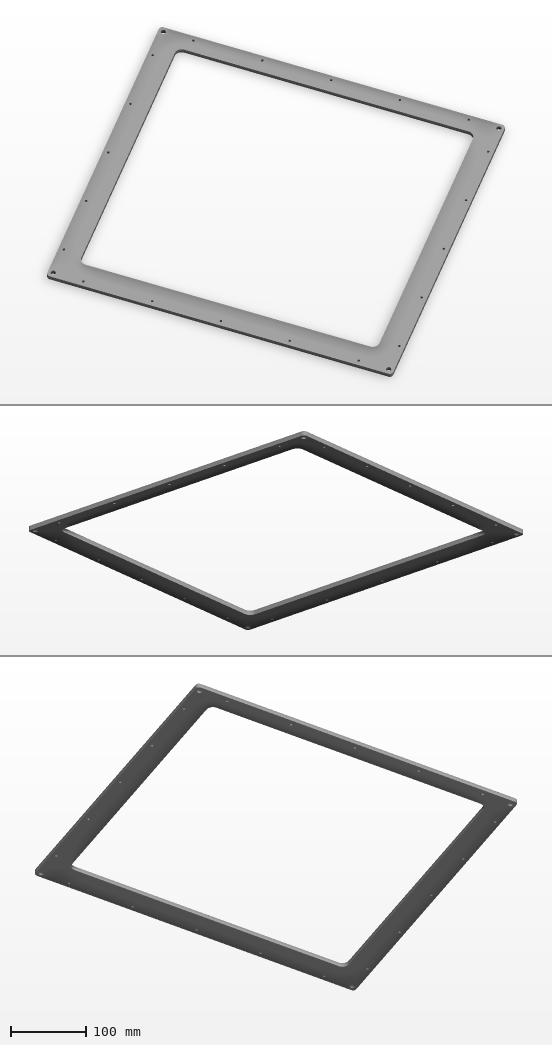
import cadquery as cq

LENGTH = 490.0
WIDTH = 445.0
THICKNESS = 6.5
OUTER_CORNER_RADIUS = 5.0

SIDE_BORDER = 34.0
BACK_BORDER = 26.0
FRONT_BORDER = 35.0
WINDOW_CORNER_RADIUS = 10.0

HOLE_INSET = 7.5
CORNER_HOLE_DIAMETER = 7.0
EDGE_HOLE_DIAMETER = 3.5
HOLES_PER_EDGE = 5
PITCH_X = 97.5
PITCH_Y = 86.5

hole_x = LENGTH / 2 - HOLE_INSET
hole_y = WIDTH / 2 - HOLE_INSET


def rounded_block(length, width, corner_radius, center_y=0.0):
    """Block of plate thickness with rounded vertical edges, standing on Z = 0."""
    block = cq.Workplane("XY").center(0, center_y).rect(length, width).extrude(THICKNESS)
    return block.edges("|Z").fillet(corner_radius)


def through_holes(points, diameter):
    """Cylinders that cut holes through the plate at the given points."""
    return cq.Workplane("XY").pushPoints(points).circle(diameter / 2).extrude(THICKNESS)


def centered_row(pitch):
    """Evenly spaced hole positions along one edge, centred on zero."""
    middle = (HOLES_PER_EDGE - 1) / 2
    return [(index - middle) * pitch for index in range(HOLES_PER_EDGE)]


plate = rounded_block(LENGTH, WIDTH, OUTER_CORNER_RADIUS)
window = rounded_block(
    LENGTH - 2 * SIDE_BORDER,
    WIDTH - BACK_BORDER - FRONT_BORDER,
    WINDOW_CORNER_RADIUS,
    center_y=(FRONT_BORDER - BACK_BORDER) / 2,
)

corner_points = [(x, y) for x in (-hole_x, hole_x) for y in (-hole_y, hole_y)]
edge_points = [(x, y) for x in centered_row(PITCH_X) for y in (-hole_y, hole_y)]
edge_points += [(x, y) for x in (-hole_x, hole_x) for y in centered_row(PITCH_Y)]

result = (
    plate.cut(window)
    .cut(through_holes(corner_points, CORNER_HOLE_DIAMETER))
    .cut(through_holes(edge_points, EDGE_HOLE_DIAMETER))
)